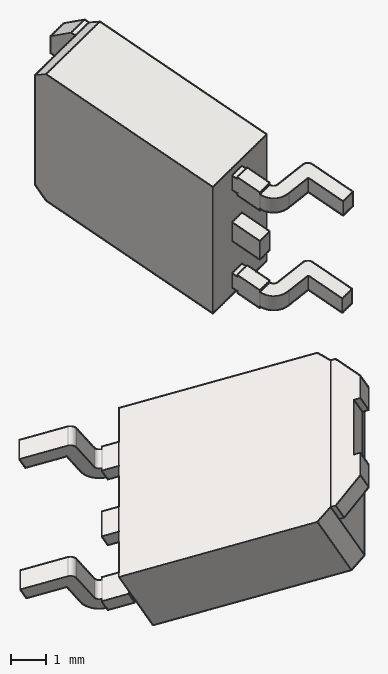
import cadquery as cq
import math


housing_left = 0.93
housing_right = 7.53
housing_depth = 2.41
housing_height = 6.2
housing_chamfer = 0.41

tab_thickness = 0.6
tab_height = housing_height - 2 * housing_chamfer
tab_slope_start = 0.77
tab_end_height = 3.65
notch_depth = 0.2
notch_height = 2.0

lead_thickness = 0.44
lead_back = -1.11
lead_front = lead_back - lead_thickness
neck_length = 0.19
shoulder_end = 8.57
shoulder_height = 0.89
lead_height = 0.71
lead_spacing = 2.4
middle_lead_height = 0.92
upper_tip = 10.55
lower_tip = 10.52

foot_back = 0.22
foot_front = foot_back - lead_thickness
riser_lean = 6.0
inner_bend_radius = 0.17
outer_bend_radius = inner_bend_radius + lead_thickness
heel_radius = 0.2


def make_housing():
    """Block with its two tab-side edges chamfered."""
    return (
        cq.Workplane("XY")
        .box(housing_right - housing_left, housing_depth, housing_height, centered=(False, False, True))
        .translate((housing_left, -housing_depth, 0))
        .edges("|Y and <X")
        .chamfer(housing_chamfer)
    )


def make_tab():
    """Tapered plate against the housing, notched at the middle of its end."""
    upper_outline = [
        (notch_depth, notch_height / 2),
        (0, notch_height / 2),
        (0, tab_end_height / 2),
        (tab_slope_start, tab_height / 2),
        (housing_left, tab_height / 2),
    ]
    lower_outline = [(x, -z) for x, z in reversed(upper_outline)]
    return cq.Workplane("XZ").polyline(upper_outline + lower_outline).close().extrude(tab_thickness)


def make_straight_bar(start, end, height):
    """Flat strip along X at the depth where the leads leave the housing."""
    return (
        cq.Workplane("XY")
        .box(end - start, lead_thickness, height, centered=(False, False, True))
        .translate((start, lead_front, 0))
    )


def make_bent_lead(tip, z):
    """Lead with a wide shoulder, a leaning riser and a foot behind the mounting face."""
    lean_slope = math.tan(math.radians(riser_lean))
    bend_setback = math.tan(math.radians((90 - riser_lean) / 2))
    inner_bend = (shoulder_end + inner_bend_radius * bend_setback, lead_back)
    outer_bend = (shoulder_end + outer_bend_radius * bend_setback, lead_front)
    heel = (inner_bend[0] + (foot_back - lead_back) * lean_slope, foot_back)
    foot_corner = (outer_bend[0] + (foot_front - lead_front) * lean_slope, foot_front)

    profile = [
        (housing_right, lead_back),
        inner_bend,
        heel,
        (tip, foot_back),
        (tip, foot_front),
        foot_corner,
        outer_bend,
        (housing_right, lead_front),
    ]
    strip = cq.Workplane("XY").polyline(profile).close().extrude(lead_height / 2, both=True)
    bends = ((inner_bend, inner_bend_radius), (outer_bend, outer_bend_radius), (heel, heel_radius))
    for corner, radius in bends:
        strip = strip.edges(cq.selectors.NearestToPointSelector((*corner, 0))).fillet(radius)

    shoulder = make_straight_bar(housing_right + neck_length, shoulder_end, shoulder_height)
    return strip.union(shoulder).translate((0, 0, z))


housing = make_housing()
tab = make_tab()
middle_lead = make_straight_bar(housing_right, shoulder_end, middle_lead_height)
bent_leads = []
for tip, z in ((upper_tip, lead_spacing), (lower_tip, -lead_spacing)):
    bent_leads.append(make_bent_lead(tip, z).val())

result = cq.Compound.makeCompound([housing.val(), tab.val(), middle_lead.val(), *bent_leads])